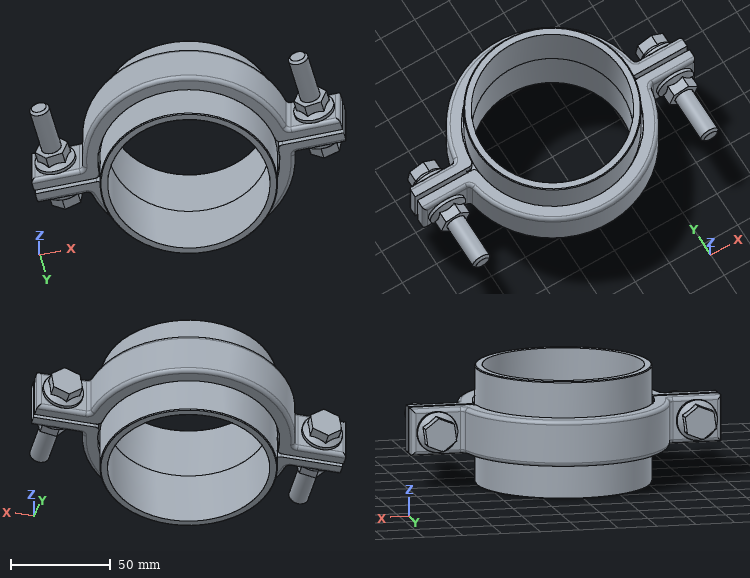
import cadquery as cq
import math

pipe_radius = 44.5
pipe_bore_radius = 40.6
pipe_length = 30.0
pipe_edge_chamfer = 0.5

clamp_diameter = 106.6
clamp_radius = clamp_diameter / 2
clamp_bore_radius = 45.6
clamp_height = 23.6
clamp_half_span = 79.7
clamp_gap = 2.2
flange_thickness = 6.4
flange_root_radius = 2.0
clamp_edge_fillet = 2.0
mouth_fillet = 2.5
flange_outer_y = clamp_gap / 2 + flange_thickness

seal_radius = 49.4
seal_height = 14.7

bolt_offset = 66.8
shank_radius = 5.1
shank_chamfer = 1.3
shank_end_y = -42.7
hex_across_flats = 15.0
hex_height = 9.2
washer_radius = 10.4
washer_thickness = 1.8
washer_cone_angle = 38.0
head_corner_angle = 22.0
nut_corner_angle = 11.0


def make_pipe():
    """One pipe length standing on Z = 0, chamfered around its free end."""
    return (
        cq.Workplane("XY")
        .circle(pipe_radius)
        .extrude(pipe_length)
        .faces(">Z")
        .chamfer(pipe_edge_chamfer)
        .faces("<Z")
        .workplane()
        .circle(pipe_bore_radius)
        .cutThruAll()
    )


def make_seal():
    """Plain ring, gripped between the pipes and the groove in the clamp."""
    return (
        cq.Workplane("XY")
        .circle(seal_radius)
        .circle(pipe_radius)
        .extrude(seal_height / 2, both=True)
    )


def make_clamp_blank():
    """Solid +Y half disc with a bolting flange on each side and a rounded outer rim."""
    root_y = flange_outer_y + flange_root_radius
    root_x = math.sqrt((clamp_radius + flange_root_radius) ** 2 - root_y**2)
    root_angle = math.atan2(root_y, root_x)
    ring_x = clamp_radius * math.cos(root_angle)
    ring_y = clamp_radius * math.sin(root_angle)
    mid_angle = (root_angle - math.pi - math.pi / 2) / 2
    mid_x = root_x + flange_root_radius * math.cos(mid_angle)
    mid_y = root_y + flange_root_radius * math.sin(mid_angle)

    body = (
        cq.Workplane("XY")
        .moveTo(clamp_half_span, clamp_gap / 2)
        .lineTo(clamp_half_span, flange_outer_y)
        .lineTo(root_x, flange_outer_y)
        .threePointArc((mid_x, mid_y), (ring_x, ring_y))
        .threePointArc((0, clamp_radius), (-ring_x, ring_y))
        .threePointArc((-mid_x, mid_y), (-root_x, flange_outer_y))
        .lineTo(-clamp_half_span, flange_outer_y)
        .lineTo(-clamp_half_span, clamp_gap / 2)
        .close()
        .extrude(clamp_height / 2, both=True)
    )
    rim_edges = "not (<Y or |Y or |Z)"
    flange_end_edges = "(|Z and (<X or >X)) exc <Y"
    return body.edges(f"({rim_edges}) or ({flange_end_edges})").fillet(clamp_edge_fillet)


def bore_clamp(blank):
    """Bore around the pipes, with rounded mouths where it meets the parting face."""
    bore = cq.Workplane("XY").circle(clamp_bore_radius).extrude(clamp_height, both=True)
    mouth_limit = clamp_bore_radius + mouth_fillet
    mouth_zone = cq.selectors.BoxSelector(
        (-mouth_limit, 0, -clamp_height), (mouth_limit, clamp_gap, clamp_height)
    )
    return blank.cut(bore).edges("|Z").edges(mouth_zone).fillet(mouth_fillet)


def make_clamp_half():
    """The +Y half, bored, grooved for the seal and drilled for the bolts."""
    seal_groove = cq.Workplane("XY").circle(seal_radius).extrude(seal_height / 2, both=True)
    bolt_holes = (
        cq.Workplane("XZ")
        .pushPoints([(-bolt_offset, 0), (bolt_offset, 0)])
        .circle(shank_radius)
        .extrude(2 * flange_outer_y, both=True)
    )
    return bore_clamp(make_clamp_blank()).cut(seal_groove).cut(bolt_holes)


def make_flanged_hex(corner_angle):
    """Hexagon on a conical washer, seated on the +Y clamp face, axis on Y."""
    corner_diameter = hex_across_flats / math.cos(math.pi / 6)
    hexagon = (
        cq.Workplane("XZ", origin=(0, flange_outer_y, 0))
        .transformed(rotate=(0, 0, corner_angle))
        .polygon(6, corner_diameter)
        .extrude(-hex_height)
    )
    cone_radius = hex_across_flats / 2
    cone_height = (washer_radius - cone_radius) * math.tan(math.radians(washer_cone_angle))
    rim_y = flange_outer_y + washer_thickness
    washer = (
        cq.Workplane("XY")
        .moveTo(0, flange_outer_y)
        .lineTo(washer_radius, flange_outer_y)
        .lineTo(washer_radius, rim_y)
        .lineTo(cone_radius, rim_y + cone_height)
        .lineTo(0, rim_y + cone_height)
        .close()
        .revolve(360, (0, 0, 0), (0, 1, 0))
    )
    return hexagon.union(washer)


def make_bolt():
    """Flanged head on the +Y side, shank running to the -Y side."""
    shank = (
        cq.Workplane("XZ", origin=(0, flange_outer_y, 0))
        .circle(shank_radius)
        .extrude(flange_outer_y - shank_end_y)
        .faces("<Y")
        .chamfer(shank_chamfer)
    )
    return make_flanged_hex(head_corner_angle).union(shank)


def make_nut():
    """Flanged nut seated on the -Y clamp face."""
    nut_end = flange_outer_y + hex_height
    thread_hole = cq.Workplane("XZ").circle(shank_radius).extrude(nut_end, both=True)
    return make_flanged_hex(nut_corner_angle).mirror("XZ").cut(thread_hole)


top_pipe = make_pipe()
bottom_pipe = top_pipe.mirror("XY")
seal = make_seal()
back_clamp = make_clamp_half()
front_clamp = back_clamp.mirror("XZ")

fasteners = []
for bolt_x in (-bolt_offset, bolt_offset):
    for fastener in (make_bolt(), make_nut()):
        fasteners.append(fastener.translate((bolt_x, 0, 0)).val())

result = cq.Compound.makeCompound(
    [
        top_pipe.val(),
        bottom_pipe.val(),
        seal.val(),
        back_clamp.val(),
        front_clamp.val(),
        *fasteners,
    ]
)